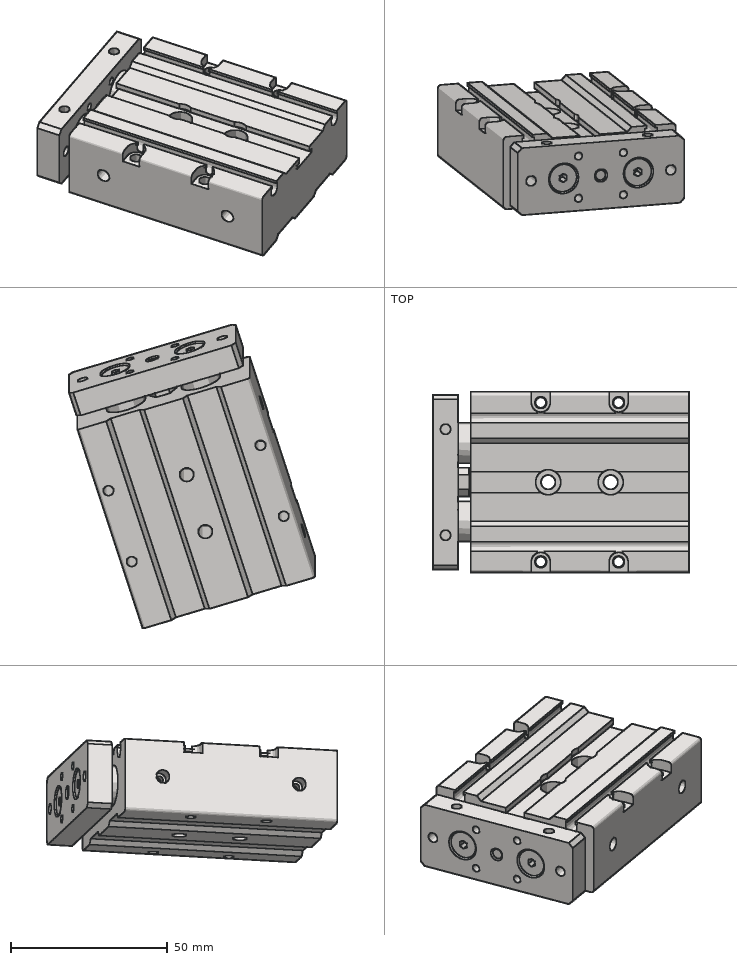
import cadquery as cq
import math


total_length = 82.0
plate_thickness = 8.0
rod_gap = 4.0
housing_front = plate_thickness + rod_gap
housing_length = total_length - housing_front

housing_width = 58.0
housing_height = 24.0
housing_top = housing_height / 2
edge_radius = 1.2

recess_depth = 1.55
top_recess_half_width = 14.1
bottom_land_half_width = 6.5
bottom_recess_outer_y = 19.3

t_slot_mouth_width = 6.8
t_slot_lip_depth = 3.5
t_slot_width = 10.0
t_slot_depth = 4.8

groove_y = 20.6
groove_mouth_width = 2.95
groove_lip = 0.9
groove_width = 4.1
groove_straight_depth = 2.4

corner_hole_x = [housing_front + 22.5, housing_front + 47.4]
corner_hole_y = 25.5
corner_slot_width = 6.1
corner_slot_depth = 3.6
corner_hole_diameter = 3.3
corner_bore_diameter = 3.8
corner_bore_depth = 10.0
notch_width = 2.2

center_hole_x = [housing_front + 24.85, housing_front + 44.85]
center_hole_diameter = 4.5
center_counterbore_diameter = 8.0
center_counterbore_depth = 10.0

port_x = [housing_front + 12.5, housing_front + 57.4]
port_diameter = 4.3
port_depth = 5.0
port_bore_diameter = 2.5
port_bore_depth = 8.0

plate_width = 56.0
plate_height = 22.2
plate_chamfer = 1.5
guide_rod_y = 12.55
guide_rod_diameter = 13.0
piston_rod_diameter = 5.0
nut_across_flats = 8.0
nut_length = 3.5

rod_recess_diameter = 10.0
piston_recess_diameter = 4.3
recess_chamfer = 0.5
socket_across_flats = 2.5
socket_depth = 5.0
screw_hole_diameter = 2.5
screw_hole_y = 7.55
screw_hole_z = 7.0
side_hole_diameter = 3.3
side_hole_y = 23.45
cross_hole_diameter = 3.3
cross_hole_y = 17.0
cross_hole_depth = 10.0


def cylinder_x(diameter, x_start, length, y=0.0, z=0.0):
    """Cylinder along +X."""
    center = cq.Vector(x_start, y, z)
    return cq.Workplane(cq.Solid.makeCylinder(diameter / 2, length, center, cq.Vector(1, 0, 0)))


def cylinder_down(diameter, x, y, z_top, depth):
    """Cylinder that goes down from z_top."""
    center = cq.Vector(x, y, z_top)
    return cq.Workplane(cq.Solid.makeCylinder(diameter / 2, depth, center, cq.Vector(0, 0, -1)))


def cylinder_inward(diameter, x, depth):
    """Cylinder that goes in from the -Y side of the housing."""
    center = cq.Vector(x, -housing_width / 2, 0)
    return cq.Workplane(cq.Solid.makeCylinder(diameter / 2, depth, center, cq.Vector(0, 1, 0)))


def hexagon_across_corners(across_flats):
    return across_flats / math.cos(math.pi / 6)


def housing_prism(section):
    """Extrude a closed Y-Z section over the whole housing length."""
    return section.close().extrude(housing_length)


def housing_section():
    return cq.Workplane("YZ", origin=(housing_front, 0, 0))


def housing_block():
    block = cq.Workplane("XY").box(housing_length, housing_width, housing_height)
    block = block.edges("|X").fillet(edge_radius)
    return block.translate((housing_front + housing_length / 2, 0, 0))


def top_recess():
    """Wide recess with 45 degree sides."""
    floor_z = housing_top - recess_depth
    floor_half_width = top_recess_half_width - recess_depth
    return housing_prism(
        housing_section()
        .moveTo(-top_recess_half_width, housing_top)
        .lineTo(-floor_half_width, floor_z)
        .lineTo(floor_half_width, floor_z)
        .lineTo(top_recess_half_width, housing_top)
    )


def center_t_slot():
    """T-slot along the middle of the top recess."""
    mouth_half = t_slot_mouth_width / 2
    half = t_slot_width / 2
    lip_z = housing_top - t_slot_lip_depth
    floor_z = housing_top - t_slot_depth
    return housing_prism(
        housing_section()
        .moveTo(-mouth_half, housing_top)
        .lineTo(-mouth_half, lip_z)
        .lineTo(-half, lip_z)
        .lineTo(-half, floor_z)
        .lineTo(half, floor_z)
        .lineTo(half, lip_z)
        .lineTo(mouth_half, lip_z)
        .lineTo(mouth_half, housing_top)
    )


def bottom_recess(side):
    """Recess with 45 degree sides between the middle land and an outer land."""
    floor_z = -housing_top + recess_depth
    return housing_prism(
        housing_section()
        .moveTo(side * bottom_land_half_width, -housing_top)
        .lineTo(side * (bottom_land_half_width + recess_depth), floor_z)
        .lineTo(side * (bottom_recess_outer_y - recess_depth), floor_z)
        .lineTo(side * bottom_recess_outer_y, -housing_top)
    )


def sensor_groove(side):
    """Round-bottomed groove behind a narrower mouth."""
    middle_y = side * groove_y
    mouth_half = groove_mouth_width / 2
    half = groove_width / 2
    lip_z = housing_top - groove_lip
    arc_z = housing_top - groove_straight_depth
    return housing_prism(
        housing_section()
        .moveTo(middle_y - mouth_half, housing_top)
        .lineTo(middle_y - mouth_half, lip_z)
        .lineTo(middle_y - half, lip_z)
        .lineTo(middle_y - half, arc_z)
        .threePointArc((middle_y, arc_z - half), (middle_y + half, arc_z))
        .lineTo(middle_y + half, lip_z)
        .lineTo(middle_y + mouth_half, lip_z)
        .lineTo(middle_y + mouth_half, housing_top)
    )


def corner_mount(x, side):
    """Stepped through hole in a round-ended side slot, with a notch into the sensor groove."""
    hole_y = side * corner_hole_y
    slot_floor = housing_top - corner_slot_depth
    slot_end = cylinder_down(corner_slot_width, x, hole_y, housing_top, corner_slot_depth)
    slot_length = housing_width / 2 - corner_hole_y
    slot = (
        cq.Workplane("XY")
        .box(corner_slot_width, slot_length, corner_slot_depth)
        .translate((x, side * (corner_hole_y + slot_length / 2), housing_top - corner_slot_depth / 2))
    )
    notch_length = corner_hole_y - groove_y
    notch = (
        cq.Workplane("XY")
        .box(notch_width, notch_length, groove_straight_depth)
        .translate((x, side * (groove_y + notch_length / 2), housing_top - groove_straight_depth / 2))
    )
    bore = cylinder_down(corner_bore_diameter, x, hole_y, slot_floor, corner_bore_depth)
    hole = cylinder_down(corner_hole_diameter, x, hole_y, housing_top, housing_height)
    return slot_end.union(slot).union(notch).union(bore).union(hole)


def center_mount(x):
    """Counterbored through hole."""
    counterbore = cylinder_down(center_counterbore_diameter, x, 0, housing_top, center_counterbore_depth)
    return counterbore.union(cylinder_down(center_hole_diameter, x, 0, housing_top, housing_height))


def air_port(x):
    port = cylinder_inward(port_diameter, x, port_depth)
    return port.union(cylinder_inward(port_bore_diameter, x, port_bore_depth))


def make_housing():
    housing = housing_block().cut(top_recess()).cut(center_t_slot())
    for side in (-1, 1):
        housing = housing.cut(bottom_recess(side)).cut(sensor_groove(side))
        for x in corner_hole_x:
            housing = housing.cut(corner_mount(x, side))
    for x in center_hole_x:
        housing = housing.cut(center_mount(x))
    for x in port_x:
        housing = housing.cut(air_port(x))
    return housing


def conical_recess(diameter, y):
    """Shallow recess with a 45 degree wall in the front face of the plate."""
    floor_radius = diameter / 2 - recess_chamfer
    cone = cq.Solid.makeCone(
        diameter / 2, floor_radius, recess_chamfer, cq.Vector(0, y, 0), cq.Vector(1, 0, 0)
    )
    return cq.Workplane(cone)


def hexagon_socket(y):
    """Hexagon socket in the front end of a guide rod; two corners point along Z."""
    section = cq.Workplane("ZY", origin=(0, y, 0)).polygon(6, hexagon_across_corners(socket_across_flats))
    return section.extrude(-socket_depth)


def plate_block():
    plate = cq.Workplane("XY").box(plate_thickness, plate_width, plate_height)
    plate = plate.edges("|X").chamfer(plate_chamfer)
    return plate.translate((plate_thickness / 2, 0, 0))


def piston_rod_and_nut():
    """Piston rod with its hexagon nut against the plate; two nut corners point along Y."""
    rod = cylinder_x(piston_rod_diameter, plate_thickness, rod_gap)
    nut = (
        cq.Workplane("YZ", origin=(plate_thickness, 0, 0))
        .polygon(6, hexagon_across_corners(nut_across_flats))
        .extrude(nut_length)
    )
    return rod.union(nut)


def make_slide():
    slide = plate_block().union(piston_rod_and_nut())
    slide = slide.cut(conical_recess(piston_recess_diameter, 0))
    for side in (-1, 1):
        rod_y = side * guide_rod_y
        slide = slide.union(cylinder_x(guide_rod_diameter, plate_thickness, rod_gap, rod_y))
        slide = slide.cut(conical_recess(rod_recess_diameter, rod_y))
        slide = slide.cut(hexagon_socket(rod_y))
        slide = slide.cut(cylinder_x(side_hole_diameter, 0, plate_thickness, side * side_hole_y))
        for z in (-screw_hole_z, screw_hole_z):
            slide = slide.cut(cylinder_x(screw_hole_diameter, 0, plate_thickness, side * screw_hole_y, z))
        cross_hole = cylinder_down(
            cross_hole_diameter, plate_thickness / 2, side * cross_hole_y, plate_height / 2, cross_hole_depth
        )
        slide = slide.cut(cross_hole)
    return slide


housing = make_housing()
slide = make_slide()

result = cq.Compound.makeCompound([housing.val(), slide.val()])